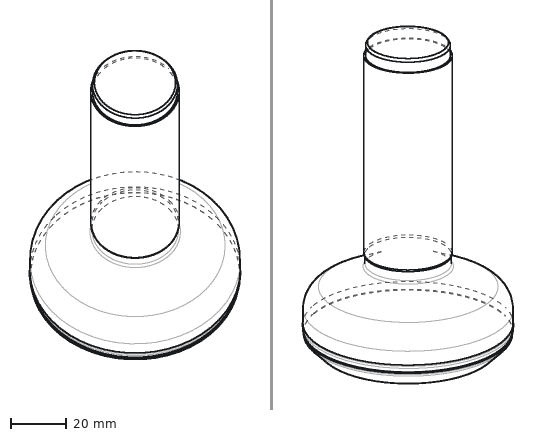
import cadquery as cq
import math

total_height = 120.65

bell_radius = 38.0
bell_shoulder_z = 15.6
bell_fillet = 10.0
cone_angle = math.atan(0.5)
neck_radius = 15.65
neck_fillet = 1.25
neck_top_z = 37.15
sleeve_radius = 16.0
sleeve_bottom_z = 37.95
sleeve_top_z = 115.5
plug_radius = 15.35
plug_chamfer_width = 0.7
plug_chamfer_height = 1.15

pad_height = 10.05
pad_bevel_foot_radius = 31.95
pad_bevel_angle = math.radians(45)
pad_bottom_fillet = 1.0
pad_rim_radius = 37.85
pad_rim_top_z = 6.75
pad_rim_fillet = 1.1
bead_radius = 38.17
bead_widest_z = 8.9
bead_lower_arc = 3.0
bead_bottom_z = 7.5
bead_top_radius = 38.1
bead_top_z = 9.7
groove_radius = 37.7
groove_z = 7.15


def revolve_about_z(profile):
    """Turn a closed half profile, drawn as (radius, height), about the Z axis."""
    return profile.close().revolve(360, (0, 0, 0), (0, 1, 0))


def arc_point(center, radius, angle):
    """Point on a circle at an angle measured from the outward radial direction."""
    return (center[0] + radius * math.cos(angle), center[1] + radius * math.sin(angle))


def make_pad():
    flat_radius = pad_bevel_foot_radius - pad_bottom_fillet * math.tan(pad_bevel_angle / 2)
    bottom_center = (flat_radius, pad_bottom_fillet)
    down = -math.pi / 2
    bevel_normal = down + pad_bevel_angle

    rim_center_r = pad_rim_radius - pad_rim_fillet
    bevel_top_r = rim_center_r + pad_rim_fillet * math.cos(bevel_normal)
    bevel_top_z = (bevel_top_r - pad_bevel_foot_radius) * math.tan(pad_bevel_angle)
    rim_center = (rim_center_r, bevel_top_z - pad_rim_fillet * math.sin(bevel_normal))

    bead_center = (bead_radius - bead_lower_arc, bead_widest_z)
    bead_end_angle = -math.asin((bead_widest_z - bead_bottom_z) / bead_lower_arc)

    profile = (
        cq.Workplane("XZ")
        .lineTo(flat_radius, 0)
        .threePointArc(
            arc_point(bottom_center, pad_bottom_fillet, (down + bevel_normal) / 2),
            arc_point(bottom_center, pad_bottom_fillet, bevel_normal),
        )
        .lineTo(bevel_top_r, bevel_top_z)
        .threePointArc(
            arc_point(rim_center, pad_rim_fillet, bevel_normal / 2),
            arc_point(rim_center, pad_rim_fillet, 0),
        )
        .lineTo(pad_rim_radius, pad_rim_top_z)
        .lineTo(groove_radius, groove_z)
        .lineTo(*arc_point(bead_center, bead_lower_arc, bead_end_angle))
        .threePointArc(
            arc_point(bead_center, bead_lower_arc, bead_end_angle / 2),
            (bead_radius, bead_widest_z),
        )
        .lineTo(bead_top_radius, bead_top_z)
        .lineTo(bell_radius, pad_height)
        .lineTo(0, pad_height)
    )
    return revolve_about_z(profile)


def make_foot():
    turn = math.pi / 2 - cone_angle

    bell_center = (bell_radius - bell_fillet, bell_shoulder_z)
    cone_bottom = arc_point(bell_center, bell_fillet, turn)

    neck_center_r = neck_radius + neck_fillet
    cone_top_r = neck_center_r - neck_fillet * math.cos(turn)
    cone_top_z = cone_bottom[1] + (cone_bottom[0] - cone_top_r) * math.tan(cone_angle)
    neck_bottom_z = cone_top_z + neck_fillet * math.sin(turn)
    neck_center = (neck_center_r, neck_bottom_z)

    profile = (
        cq.Workplane("XZ")
        .moveTo(0, pad_height)
        .lineTo(bell_radius, pad_height)
        .lineTo(bell_radius, bell_shoulder_z)
        .threePointArc(arc_point(bell_center, bell_fillet, turn / 2), cone_bottom)
        .lineTo(cone_top_r, cone_top_z)
        .threePointArc(
            arc_point(neck_center, neck_fillet, math.pi + turn / 2),
            (neck_radius, neck_bottom_z),
        )
        .lineTo(neck_radius, neck_top_z)
        .lineTo(sleeve_radius, sleeve_bottom_z)
        .lineTo(sleeve_radius, sleeve_top_z)
        .lineTo(plug_radius, sleeve_top_z)
        .lineTo(plug_radius, total_height - plug_chamfer_height)
        .lineTo(plug_radius - plug_chamfer_width, total_height)
        .lineTo(0, total_height)
    )
    return revolve_about_z(profile)


pad = make_pad()
foot = make_foot()

result = cq.Compound.makeCompound([pad.val(), foot.val()])